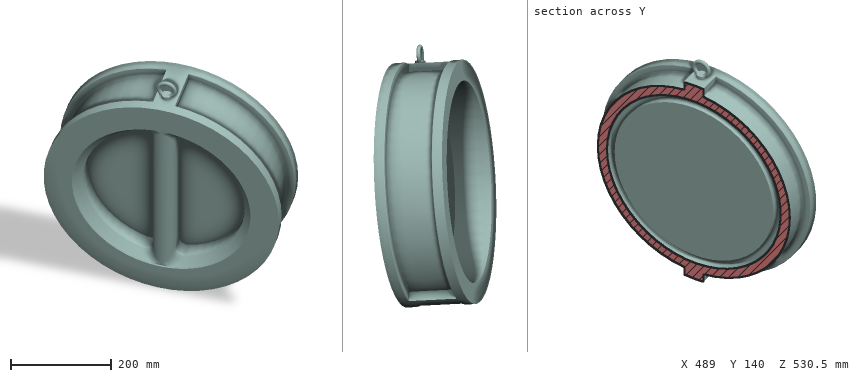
import cadquery as cq
import math

flange_diameter = 489.0
housing_length = 140.0
flange_thickness = 22.0
flange_edge_radius = 1.5
neck_diameter = 451.0
neck_fillet = 5.5
web_width = 45.5

inlet_diameter = 371.5
inlet_chamfer = 2.0
seat_diameter = 336.0
taper_depth = 20.0
taper_overrun = 10.5
seat_depth = 53.0
outlet_diameter = 406.0

bar_width = 46.0
bar_front_depth = 2.0
bar_fillet = 15.0
selection_margin = 0.5

flap_diameter = 371.5
flap_thickness = 16.0

overall_height = 530.5
eye_y = -30.0
eye_outer_diameter = 41.5
eye_wire_diameter = 8.0
collar_diameter = 20.0
collar_height = 8.0

flange_radius = flange_diameter / 2
neck_radius = neck_diameter / 2
inlet_radius = inlet_diameter / 2
seat_radius = seat_diameter / 2
outlet_radius = outlet_diameter / 2
inlet_y = -housing_length / 2
outlet_y = housing_length / 2
seat_y = inlet_y + seat_depth
taper_slope = (inlet_radius - inlet_chamfer - seat_radius) / (taper_depth - inlet_chamfer)
groove_y = outlet_y - flange_thickness
eye_top_z = overall_height - flange_radius


def along_y(radius, start_y, length):
    """Solid cylinder about the Y axis, from start_y toward +Y."""
    return cq.Workplane("XZ", origin=(0, start_y, 0)).circle(radius).extrude(-length)


def make_outer_shell():
    """Flanged drum with rounded groove corners."""
    bend = math.sqrt(0.5)
    edge = flange_edge_radius
    root = neck_fillet
    edge_bulge = edge * (1 - bend)
    root_bulge = root * (1 - bend)
    profile = (
        cq.Workplane("XY")
        .moveTo(0, inlet_y)
        .lineTo(flange_radius, inlet_y)
        .lineTo(flange_radius, -groove_y - edge)
        .threePointArc(
            (flange_radius - edge_bulge, -groove_y - edge_bulge),
            (flange_radius - edge, -groove_y),
        )
        .lineTo(neck_radius + root, -groove_y)
        .threePointArc(
            (neck_radius + root_bulge, -groove_y + root_bulge),
            (neck_radius, -groove_y + root),
        )
        .lineTo(neck_radius, groove_y - root)
        .threePointArc(
            (neck_radius + root_bulge, groove_y - root_bulge),
            (neck_radius + root, groove_y),
        )
        .lineTo(flange_radius - edge, groove_y)
        .threePointArc(
            (flange_radius - edge_bulge, groove_y + edge_bulge),
            (flange_radius, groove_y + edge),
        )
        .lineTo(flange_radius, outlet_y)
        .lineTo(0, outlet_y)
        .close()
    )
    return profile.revolve(360, (0, 0, 0), (0, 1, 0))


def make_webs():
    """Top and bottom webs, joining the two flanges across the groove."""
    strip = cq.Workplane("XY").box(web_width, housing_length, flange_diameter)
    return strip.intersect(along_y(flange_radius, inlet_y, housing_length))


def make_inlet():
    """Tapered inlet and straight seat bore, the taper running on past the inlet face."""
    return (
        cq.Workplane("XY")
        .moveTo(0, inlet_y - taper_overrun)
        .lineTo(seat_radius + (taper_depth + taper_overrun) * taper_slope, inlet_y - taper_overrun)
        .lineTo(seat_radius, inlet_y + taper_depth)
        .lineTo(seat_radius, seat_y)
        .lineTo(0, seat_y)
        .close()
        .revolve(360, (0, 0, 0), (0, 1, 0))
    )


def make_mouth_chamfer():
    """Cone widening the mouth of the inlet at its face."""
    return (
        cq.Workplane("XY")
        .moveTo(0, inlet_y)
        .lineTo(inlet_radius, inlet_y)
        .lineTo(inlet_radius - inlet_chamfer, inlet_y + inlet_chamfer)
        .lineTo(0, inlet_y + inlet_chamfer)
        .close()
        .revolve(360, (0, 0, 0), (0, 1, 0))
    )


def make_bar():
    """Vertical bar with a half-round front and flat sides."""
    bar_radius = bar_width / 2
    nose_y = inlet_y + bar_front_depth
    return (
        cq.Workplane("XY", origin=(0, 0, -flange_radius))
        .moveTo(-bar_radius, seat_y)
        .lineTo(-bar_radius, nose_y + bar_radius)
        .threePointArc((0, nose_y), (bar_radius, nose_y + bar_radius))
        .lineTo(bar_radius, seat_y)
        .close()
        .extrude(flange_diameter)
    )


def make_housing():
    """Housing with its bar, the bar ends blended into the inlet wall."""
    inlet = make_inlet().cut(make_bar())
    bar_end_z = seat_radius - bar_width / 2
    half_gap = bar_width / 2 + selection_margin
    top_ends = cq.selectors.BoxSelector(
        (-half_gap, inlet_y, bar_end_z),
        (half_gap, seat_y - selection_margin, flange_radius),
    )
    bottom_ends = cq.selectors.BoxSelector(
        (-half_gap, inlet_y, -flange_radius),
        (half_gap, seat_y - selection_margin, -bar_end_z),
    )
    inlet = inlet.edges(top_ends + bottom_ends).fillet(bar_fillet)
    outlet = along_y(outlet_radius, seat_y, outlet_y - seat_y)
    return make_outer_shell().union(make_webs()).cut(inlet).cut(make_mouth_chamfer()).cut(outlet)


def make_flap(side):
    """Half-disc flap on the +X (side = 1) or -X (side = -1) half."""
    flap_radius = flap_diameter / 2
    return (
        cq.Workplane("XZ", origin=(0, seat_y, 0))
        .moveTo(0, -flap_radius)
        .threePointArc((side * flap_radius, 0), (0, flap_radius))
        .close()
        .extrude(-flap_thickness)
    )


def make_lifting_eye():
    """Ring on a round collar whose underside follows the flange curve."""
    wire_radius = eye_wire_diameter / 2
    ring_radius = eye_outer_diameter / 2 - wire_radius
    ring_z = eye_top_z - eye_outer_diameter / 2
    ring = cq.Workplane(cq.Solid.makeTorus(
        ring_radius, wire_radius, cq.Vector(0, eye_y, ring_z), cq.Vector(0, 1, 0)
    ))
    collar_top_z = flange_radius + collar_height
    collar = (
        cq.Workplane("XY", origin=(0, eye_y, collar_top_z))
        .circle(collar_diameter / 2)
        .extrude(-2 * collar_height)
    )
    return ring.union(collar).cut(along_y(flange_radius, inlet_y, housing_length))


housing = make_housing()
flaps = [make_flap(side) for side in (-1, 1)]
lifting_eye = make_lifting_eye()

result = cq.Compound.makeCompound([
    housing.val(),
    *[flap.val() for flap in flaps],
    lifting_eye.val(),
])